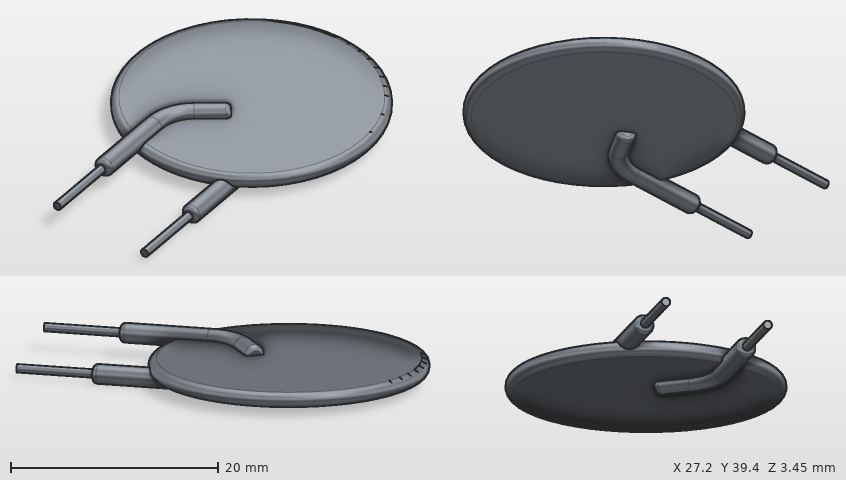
import cadquery as cq
import math

disc_diameter = 27.18
disc_thickness = 1.5
disc_radius = disc_diameter / 2
rim_radius = disc_thickness / 2

overall_height = 3.45
overall_length = 39.38
sleeve_diameter = overall_height - disc_thickness
sleeve_radius = sleeve_diameter / 2
sleeve_end_fillet = 0.5
wire_diameter = 0.85
wire_length = 7.6
lead_spacing = 10.2
bend_radius = 4.8
bend_angle = 55.0
bend_start_y = -9.35
inner_straight_length = 3.6

lead_x = -lead_spacing / 2
wire_end_y = disc_radius - overall_length
sleeve_end_y = wire_end_y + wire_length
lead_z = disc_thickness / 2


def make_disc():
    """Revolve half of the disc section, with its half-round rim, about Z."""
    flat_radius = disc_radius - rim_radius
    section = (
        cq.Workplane("XZ")
        .moveTo(0, -rim_radius)
        .lineTo(flat_radius, -rim_radius)
        .threePointArc((disc_radius, 0), (flat_radius, rim_radius))
        .lineTo(0, rim_radius)
        .close()
    )
    return section.revolve(360, (0, 0, 0), (0, 1, 0))


def bend_point(turn_degrees):
    """Point on the bend's centre line after turning this far from +Y."""
    turn = math.radians(turn_degrees)
    return (
        lead_x + bend_radius * (1 - math.cos(turn)),
        bend_start_y + bend_radius * math.sin(turn),
    )


def make_upper_lead():
    """Sleeve and wire of the lead lying half sunk in the disc's top face."""
    bend_end = bend_point(bend_angle)
    turn = math.radians(bend_angle)
    inner_end = (
        bend_end[0] + inner_straight_length * math.sin(turn),
        bend_end[1] + inner_straight_length * math.cos(turn),
    )
    path = (
        cq.Workplane("XY", origin=(0, 0, lead_z))
        .moveTo(lead_x, sleeve_end_y)
        .lineTo(lead_x, bend_start_y)
        .threePointArc(bend_point(bend_angle / 2), bend_end)
        .lineTo(*inner_end)
    )
    sleeve = (
        cq.Workplane("XZ", origin=(lead_x, sleeve_end_y, lead_z))
        .circle(sleeve_radius)
        .sweep(path)
        .faces(cq.selectors.TypeSelector("PLANE"))
        .edges()
        .fillet(sleeve_end_fillet)
    )
    wire = (
        cq.Workplane("XZ", origin=(lead_x, sleeve_end_y, lead_z))
        .circle(wire_diameter / 2)
        .extrude(wire_length)
    )
    return sleeve.union(wire)


upper_lead = make_upper_lead()
leads = [upper_lead.rotate((0, 0, 0), (0, 1, 0), turn) for turn in (0, 180)]

disc = make_disc()
for lead in leads:
    disc = disc.cut(lead)

bodies = [disc, *leads]
result = cq.Compound.makeCompound([body.solids().val() for body in bodies])